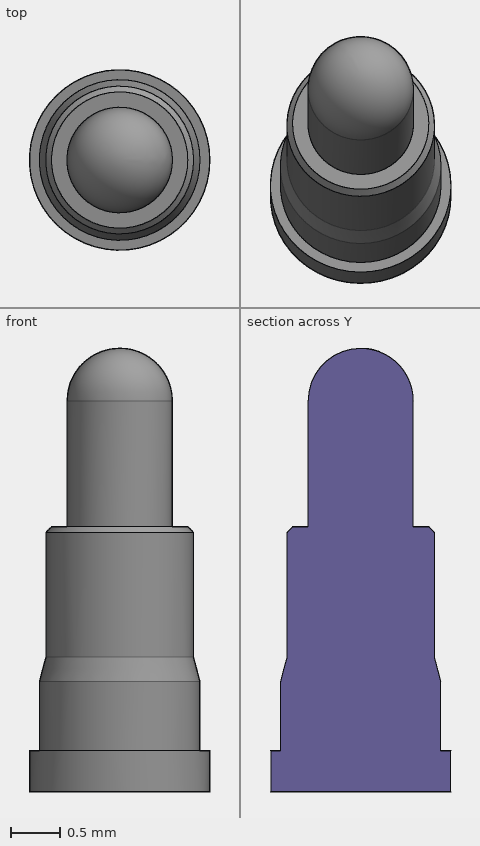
import cadquery as cq

flange_diameter = 1.83
flange_height = 0.42

collar_diameter = 1.63
collar_top = 1.12
cone_top = 1.37

barrel_diameter = 1.5
barrel_top = 2.69
barrel_chamfer = 0.06

plunger_diameter = 1.07
total_height = 4.5

flange_radius = flange_diameter / 2
collar_radius = collar_diameter / 2
barrel_radius = barrel_diameter / 2
plunger_radius = plunger_diameter / 2
dome_base = total_height - plunger_radius


def pin_body():
    """Revolve the stepped half-profile around the Z axis."""
    profile = (
        cq.Workplane("XZ")
        .moveTo(0, 0)
        .lineTo(flange_radius, 0)
        .lineTo(flange_radius, flange_height)
        .lineTo(collar_radius, flange_height)
        .lineTo(collar_radius, collar_top)
        .lineTo(barrel_radius, cone_top)
        .lineTo(barrel_radius, barrel_top - barrel_chamfer)
        .lineTo(barrel_radius - barrel_chamfer, barrel_top)
        .lineTo(plunger_radius, barrel_top)
        .lineTo(plunger_radius, dome_base)
        .tangentArcPoint((-plunger_radius, plunger_radius))
        .close()
    )
    return profile.revolve(360, (0, 0, 0), (0, 1, 0))


result = pin_body()